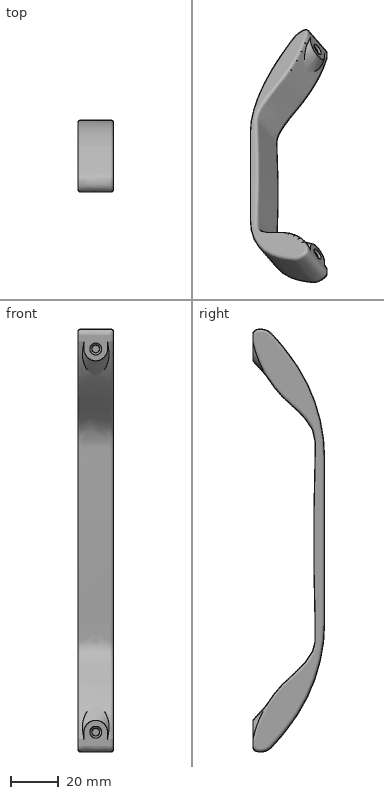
import cadquery as cq
import math

height = 176.9
width = 15.0
depth = 30.0
edge_radius = 1.2

grip_half_height = 34.3
grip_thickness = 4.0
grip_bulge = 0.5

back_bend_radius = 70.8
back_bend_angle = math.radians(32.5)

leg_top = (12.4, 60.1)
leg_middle = (4.0, 71.8)
leg_slope = math.radians(45)
front_bend_points = [(21.8, 51.1), (25.0, 46.3)]
flat_start = 83.1

tip_y = 3.2
back_tip_points = [(12.4, 81.4), (8.0, 86.3)]
flat_end = 86.0

screw_z = 80.1
boss_radius = 5.0
boss_length = 7.0
boss_flare = 0.55
boss_drop = 0.55
mouth_radius = 2.5
hole_radius = 1.6
hole_depth = 8.8
countersink_depth = mouth_radius - hole_radius


def half_outline():
    """Side outline (Y, Z) of the upper half, from the grip back over the tip to the grip front."""
    front_y = depth - grip_thickness
    tip_z = height / 2
    bend_end = (
        depth - back_bend_radius * (1 - math.cos(back_bend_angle)),
        grip_half_height + back_bend_radius * math.sin(back_bend_angle),
    )
    bend_direction = (-math.sin(back_bend_angle), math.cos(back_bend_angle))
    bulge_radius = (grip_half_height**2 + grip_bulge**2) / (2 * grip_bulge)
    middle_y = front_y - grip_bulge
    quarter_z = grip_half_height / 2
    quarter_y = middle_y + bulge_radius - math.sqrt(bulge_radius**2 - quarter_z**2)
    return (
        cq.Workplane("YZ", origin=(-width / 2, 0, 0))
        .moveTo(depth, 0)
        .lineTo(depth, grip_half_height)
        .tangentArcPoint(bend_end, relative=False)
        .spline(
            back_tip_points + [(tip_y, tip_z), (0, flat_end)],
            tangents=[bend_direction, None, None, (-1, 0), (0, -1)],
            includeCurrent=True,
        )
        .lineTo(0, flat_start)
        .threePointArc(leg_middle, leg_top)
        .spline(
            front_bend_points + [(front_y, grip_half_height)],
            tangents=[(math.sin(leg_slope), -math.cos(leg_slope)), (0, -1)],
            includeCurrent=True,
        )
        .threePointArc((quarter_y, quarter_z), (middle_y, 0))
    )


def plain_body():
    """Handle without bosses or holes, rounded along both side outlines."""
    body = half_outline().mirrorX().extrude(width).clean()
    return body.faces("<X or >X").edges().fillet(edge_radius)


def boss_section(y):
    """U-shaped outline of the upper boss at depth y: straight sides above a half round."""
    radius = boss_radius + boss_flare * y
    centre_z = screw_z - boss_drop * y
    return (
        cq.Workplane("XZ", origin=(0, y, 0))
        .moveTo(radius, flat_start)
        .lineTo(radius, centre_z)
        .threePointArc((0, centre_z - radius), (-radius, centre_z))
        .lineTo(-radius, flat_start)
        .close()
        .val()
    )


def upper_boss():
    """Flared boss, narrowed at the rounded edges so that its back stays inside the leg."""
    flared = cq.Solid.makeLoft([boss_section(0), boss_section(boss_length)], True)
    trim = cq.Workplane("XY").box(width - 2 * edge_radius, 2 * boss_length, height)
    return trim.intersect(cq.Workplane(flared))


def upper_hole():
    """Blind screw hole with a countersunk mouth."""
    mouth_centre = cq.Vector(0, 0, screw_z)
    into_leg = cq.Vector(0, 1, 0)
    mouth = cq.Solid.makeCone(mouth_radius, hole_radius, countersink_depth, mouth_centre, into_leg)
    bore = cq.Workplane("XZ", origin=(0, 0, screw_z)).circle(hole_radius).extrude(-hole_depth)
    return bore.union(cq.Workplane(mouth))


def both_ends(upper):
    """The given upper feature together with its mirror image at the lower end."""
    return upper.union(upper.mirror("XY"))


result = plain_body().union(both_ends(upper_boss())).clean().cut(both_ends(upper_hole()))